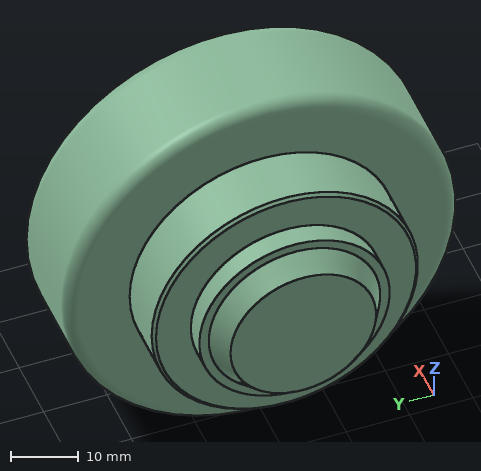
import cadquery as cq
import math

tip_radius = 11.5
cone_radius = 13.5
pin_radius = 30.0 / 2
collar_radius = 42.0 / 2
roller_radius = 62 / 2

total_length = 36.5
cone_length = 3.6
pin_length = 3.5
collar_length = 9.5
collar_chamfer = 0.5

front_fillet = 2.0
rear_arc_radius = 3.0
rear_cone_slope = 20
rear_face_radius = 24.9

pin_start = cone_length
collar_start = pin_start + pin_length
roller_start = collar_start + collar_length

slope = math.radians(rear_cone_slope)
arc_center_radius = roller_radius - rear_arc_radius


def on_rear_arc(angle):
    """Offset along X and radius of a point on the rear arc, angle measured from the X axis."""
    return rear_arc_radius * math.cos(angle), arc_center_radius + rear_arc_radius * math.sin(angle)


arc_end_offset, arc_end_radius = on_rear_arc(slope)
arc_mid_offset, arc_mid_radius = on_rear_arc((slope + math.pi / 2) / 2)
rear_cone_length = (arc_end_radius - rear_face_radius) * math.tan(slope)
arc_center_x = total_length - rear_cone_length - arc_end_offset

fillet_inset = front_fillet * (1 - math.sqrt(0.5))
half_section = (
    cq.Workplane("XY")
    .moveTo(0, 0)
    .lineTo(0, tip_radius)
    .lineTo(pin_start, cone_radius)
    .lineTo(pin_start, pin_radius)
    .lineTo(collar_start, pin_radius)
    .lineTo(collar_start, collar_radius - collar_chamfer)
    .lineTo(collar_start + collar_chamfer, collar_radius)
    .lineTo(roller_start, collar_radius)
    .lineTo(roller_start, roller_radius - front_fillet)
    .threePointArc(
        (roller_start + fillet_inset, roller_radius - fillet_inset),
        (roller_start + front_fillet, roller_radius),
    )
    .lineTo(arc_center_x, roller_radius)
    .threePointArc(
        (arc_center_x + arc_mid_offset, arc_mid_radius),
        (arc_center_x + arc_end_offset, arc_end_radius),
    )
    .lineTo(total_length, rear_face_radius)
    .lineTo(total_length, 0)
    .close()
)

result = half_section.revolve(360, (0, 0, 0), (1, 0, 0))